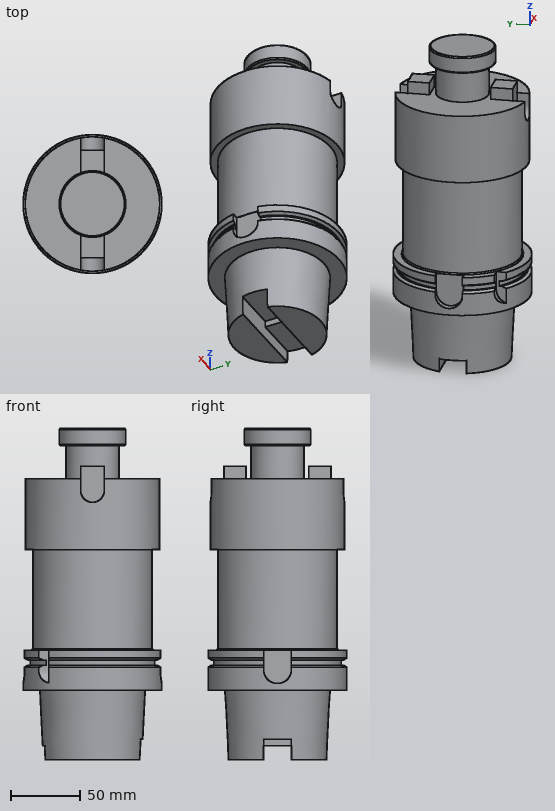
import cadquery as cq

OVERALL_LENGTH = 238.93

SHANK_LENGTH = 50.0
SHANK_TOP_RADIUS = 38.0
SHANK_END_RADIUS = 35.5
SHANK_SLOT_WIDTH = 20.0
SHANK_SLOT_HEIGHT_NEG_X = 10.0
SHANK_SLOT_HEIGHT_POS_X = 15.0

FLANGE_RADIUS = 50.0
FLANGE_HEIGHT = 29.0
GROOVE_RADIUS = 46.0
GROOVE_CENTRE_Z = 20.0
GROOVE_FLOOR_HEIGHT = 3.75
GROOVE_WALL_RADIUS = 47.5
GROOVE_FLANK_HEIGHT = 1.5

DRIVE_SLOT_RADIUS = 10.0
DRIVE_SLOT_ARC_Z = 15.0
DRIVE_SLOT_FLOOR = 44.0
NOTCH_CORNER = 31.55

BODY_RADIUS = 43.0
BODY_BASE_CHAMFER = 1.0
HEAD_RADIUS = 48.4
HEAD_BOTTOM_Z = 101.5
HEAD_TOP_Z = 152.5

KEY_WIDTH = 17.0
KEY_HEIGHT = 9.0
KEY_INNER_Y = 22.5
KEY_OUTER_Y = 38.6
KEY_SLOT_BOTTOM_Z = 135.5

PILOT_RADIUS = 19.2
SCREW_HEAD_RADIUS = 24.0
SCREW_HEAD_HEIGHT = 12.7
SCREW_HEAD_CHAMFER = 1.0

TOP_Z = OVERALL_LENGTH - SHANK_LENGTH


def turned_body():
    """Revolve the half profile, from the shank end up to the screw head."""
    groove_floor_half = GROOVE_FLOOR_HEIGHT / 2
    groove_mouth_half = groove_floor_half + GROOVE_FLANK_HEIGHT
    screw_head_bottom = TOP_Z - SCREW_HEAD_HEIGHT
    screw_head_edge_radius = SCREW_HEAD_RADIUS - SCREW_HEAD_CHAMFER
    profile = [
        (0, -SHANK_LENGTH),
        (SHANK_END_RADIUS, -SHANK_LENGTH),
        (SHANK_TOP_RADIUS, 0),
        (FLANGE_RADIUS, 0),
        (FLANGE_RADIUS, GROOVE_CENTRE_Z - groove_mouth_half),
        (GROOVE_WALL_RADIUS, GROOVE_CENTRE_Z - groove_floor_half),
        (GROOVE_RADIUS, GROOVE_CENTRE_Z - groove_floor_half),
        (GROOVE_RADIUS, GROOVE_CENTRE_Z + groove_floor_half),
        (GROOVE_WALL_RADIUS, GROOVE_CENTRE_Z + groove_floor_half),
        (FLANGE_RADIUS, GROOVE_CENTRE_Z + groove_mouth_half),
        (FLANGE_RADIUS, FLANGE_HEIGHT),
        (BODY_RADIUS + BODY_BASE_CHAMFER, FLANGE_HEIGHT),
        (BODY_RADIUS, FLANGE_HEIGHT + BODY_BASE_CHAMFER),
        (BODY_RADIUS, HEAD_BOTTOM_Z),
        (HEAD_RADIUS, HEAD_BOTTOM_Z),
        (HEAD_RADIUS, HEAD_TOP_Z),
        (PILOT_RADIUS, HEAD_TOP_Z),
        (PILOT_RADIUS, screw_head_bottom),
        (screw_head_edge_radius, screw_head_bottom),
        (SCREW_HEAD_RADIUS, screw_head_bottom + SCREW_HEAD_CHAMFER),
        (SCREW_HEAD_RADIUS, TOP_Z - SCREW_HEAD_CHAMFER),
        (screw_head_edge_radius, TOP_Z),
        (0, TOP_Z),
    ]
    return cq.Workplane("XZ").polyline(profile).close().revolve(360, (0, 0), (0, 1))


def round_bottom_slot(plane, centre, radius, arc_z, top_z, start, end):
    """Slot with a half-round bottom, running from start to end along the plane normal."""
    return (
        cq.Workplane(plane)
        .workplane(offset=start)
        .moveTo(centre - radius, top_z)
        .lineTo(centre - radius, arc_z)
        .threePointArc((centre, arc_z - radius), (centre + radius, arc_z))
        .lineTo(centre + radius, top_z)
        .close()
        .extrude(end - start)
    )


def flange_slot(centre, start, end):
    """Round-bottomed slot along X, open at the top of the flange."""
    return round_bottom_slot(
        "YZ", centre, DRIVE_SLOT_RADIUS, DRIVE_SLOT_ARC_Z, FLANGE_HEIGHT, start, end
    )


def cut_flange_slots(body):
    """Cut opposite drive slots on X and the square-cornered notch between -X and -Y."""
    body = body.cut(flange_slot(0, -FLANGE_RADIUS, -DRIVE_SLOT_FLOOR))
    body = body.cut(flange_slot(0, DRIVE_SLOT_FLOOR, FLANGE_RADIUS))
    notch_centre = -NOTCH_CORNER - DRIVE_SLOT_RADIUS
    return body.cut(flange_slot(notch_centre, -FLANGE_RADIUS, -NOTCH_CORNER))


def cut_shank_slots(body):
    """Cut a slot across the shank end, deeper on the +X half."""
    for direction, height in ((-1, SHANK_SLOT_HEIGHT_NEG_X), (1, SHANK_SLOT_HEIGHT_POS_X)):
        slot = cq.Workplane("XY").box(
            SHANK_TOP_RADIUS, SHANK_SLOT_WIDTH, height, centered=(False, True, False)
        )
        if direction < 0:
            slot = slot.translate((-SHANK_TOP_RADIUS, 0, 0))
        body = body.cut(slot.translate((0, 0, -SHANK_LENGTH)))
    return body


def add_drive_keys(body):
    """Cut the head slots outside the keys and raise a key on each Y side."""
    radius = KEY_WIDTH / 2
    arc_z = KEY_SLOT_BOTTOM_Z + radius
    key_length = KEY_OUTER_Y - KEY_INNER_Y
    for side in (-1, 1):
        start, end = sorted((side * KEY_OUTER_Y, side * HEAD_RADIUS))
        body = body.cut(round_bottom_slot("XZ", 0, radius, arc_z, HEAD_TOP_Z, start, end))
        key_centre = side * (KEY_INNER_Y + KEY_OUTER_Y) / 2
        key = cq.Workplane("XY").box(KEY_WIDTH, key_length, KEY_HEIGHT, centered=(True, True, False))
        body = body.union(key.translate((0, key_centre, HEAD_TOP_Z)))
    return body


result = add_drive_keys(cut_shank_slots(cut_flange_slots(turned_body())))